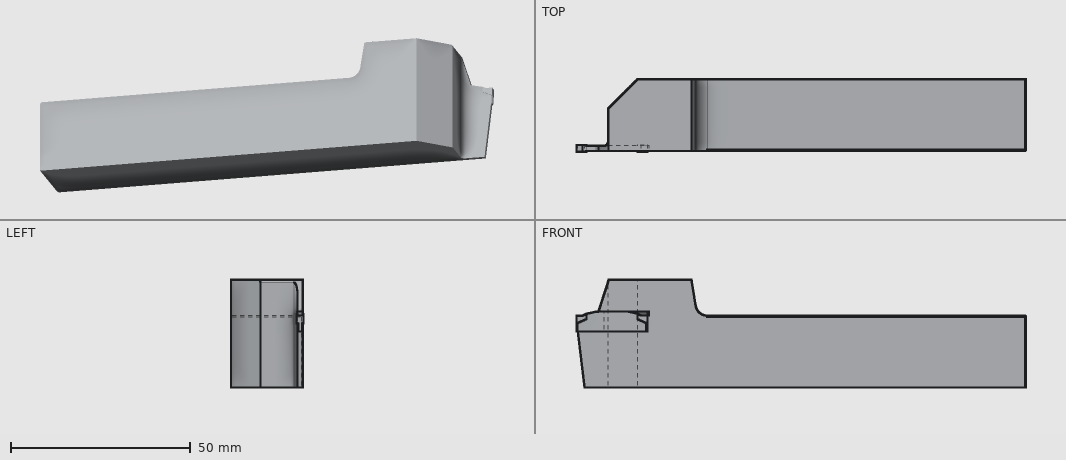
import cadquery as cq

total_length = 125.0
shank_width = 20.0
shank_height = 20.0
head_height = 30.0
blade_foot_x = 2.2
blade_tip_x = 0.4
head_nose_x = 6.1
head_top_start_x = 9.0
head_top_end_x = 32.0
head_foot_x = 33.6
head_fillet_radius = 3.2
edge_chamfer = 0.4
chamfer_start_x = 36.2

blade_thickness = 1.5
blade_rear_fillet = 1.0
head_face_x = 8.8
corner_chamfer = 8.2

insert_length = 19.8
insert_bottom_z = 15.5
insert_top_z = 21.1
cutting_edge_z = 20.0
rake_end_x = 1.8
head_top_z = 20.5
crown_start_x = 5.5
cutting_head_length = 2.8
head_side_overhang = 0.2
head_inner_z = 19.0
head_outer_z = 17.8
end_chamfer_length = 0.4
end_chamfer_depth = 0.2

pocket_end_x = 20.1


def extrude_along_y(outline, start_y, end_y):
    """Extrude an XZ outline from start_y to end_y."""
    sketch = cq.Workplane("XZ", origin=(0, start_y, 0)).polyline(outline).close()
    return sketch.extrude(start_y - end_y)


def make_holder_blank():
    outline = [
        (blade_foot_x, 0),
        (blade_tip_x, insert_bottom_z),
        (blade_tip_x, insert_top_z),
        (head_nose_x, insert_top_z),
        (head_top_start_x, head_height),
        (head_top_end_x, head_height),
        (head_foot_x, shank_height),
        (total_length, shank_height),
        (total_length, 0),
    ]
    blank = extrude_along_y(outline, 0, shank_width)
    step_corner = cq.selectors.NearestToPointSelector((head_foot_x, shank_width / 2, shank_height))
    return blank.edges(step_corner).fillet(head_fillet_radius)


def make_side_relief():
    """Space behind the blade, with a rounded root and an angled rear corner."""
    chamfer_start_y = shank_width - corner_chamfer
    return (
        cq.Workplane("XY")
        .moveTo(0, blade_thickness)
        .lineTo(head_face_x - blade_rear_fillet, blade_thickness)
        .radiusArc((head_face_x, blade_thickness + blade_rear_fillet), -blade_rear_fillet)
        .lineTo(head_face_x, chamfer_start_y)
        .lineTo(head_face_x + corner_chamfer, shank_width)
        .lineTo(0, shank_width)
        .close()
        .extrude(head_height)
    )


def chamfer_shank(holder):
    """Bevel the front-top edge and the top and front edges of the rear end."""
    front_top = (
        cq.Workplane("YZ", origin=(chamfer_start_x, 0, 0))
        .polyline([(0, shank_height), (edge_chamfer, shank_height), (0, shank_height - edge_chamfer)])
        .close()
        .extrude(total_length - chamfer_start_x)
    )
    end_top = extrude_along_y(
        [
            (total_length, shank_height),
            (total_length - edge_chamfer, shank_height),
            (total_length, shank_height - edge_chamfer),
        ],
        0,
        shank_width,
    )
    end_front = (
        cq.Workplane("XY")
        .polyline([(total_length, 0), (total_length - edge_chamfer, 0), (total_length, edge_chamfer)])
        .close()
        .extrude(shank_height)
    )
    return holder.cut(front_top).cut(end_top).cut(end_front)


def make_insert_pocket():
    """Seat for the insert, with clearance around its rear cutting head."""
    seat = extrude_along_y(
        [
            (0, insert_bottom_z),
            (insert_length, insert_bottom_z),
            (insert_length, cutting_edge_z),
            (pocket_end_x, cutting_edge_z),
            (pocket_end_x, insert_top_z),
            (0, insert_top_z),
        ],
        0,
        blade_thickness,
    )
    rear_head_space = extrude_along_y(
        [
            (insert_length, head_outer_z),
            (insert_length, insert_top_z),
            (insert_length - cutting_head_length, insert_top_z),
            (insert_length - cutting_head_length, head_inner_z),
        ],
        0,
        blade_thickness + head_side_overhang,
    )
    return seat.union(rear_head_space)


def make_holder():
    holder = make_holder_blank().cut(make_side_relief())
    return chamfer_shank(holder).cut(make_insert_pocket())


def mirror_along_length(shape):
    """Mirror a shape about the middle of the insert."""
    return shape.mirror("YZ", (insert_length / 2, 0, 0))


def make_insert_half():
    middle_x = insert_length / 2
    body = extrude_along_y(
        [
            (0, insert_bottom_z),
            (0, cutting_edge_z),
            (rake_end_x, cutting_edge_z),
            (cutting_head_length, head_top_z),
            (crown_start_x, insert_top_z),
            (middle_x, insert_top_z),
            (middle_x, insert_bottom_z),
        ],
        0,
        blade_thickness,
    )
    body = body.faces("<X").edges("|Z").chamfer(end_chamfer_depth, end_chamfer_length)
    cutting_head = extrude_along_y(
        [
            (0, head_outer_z),
            (0, cutting_edge_z),
            (rake_end_x, cutting_edge_z),
            (cutting_head_length, head_top_z),
            (cutting_head_length, head_inner_z),
        ],
        -head_side_overhang,
        blade_thickness + head_side_overhang,
    )
    return body.union(cutting_head)


def make_insert():
    front_half = make_insert_half()
    return front_half.union(mirror_along_length(front_half))


holder = make_holder()
insert = make_insert()
result = cq.Compound.makeCompound([holder.val(), insert.val()])